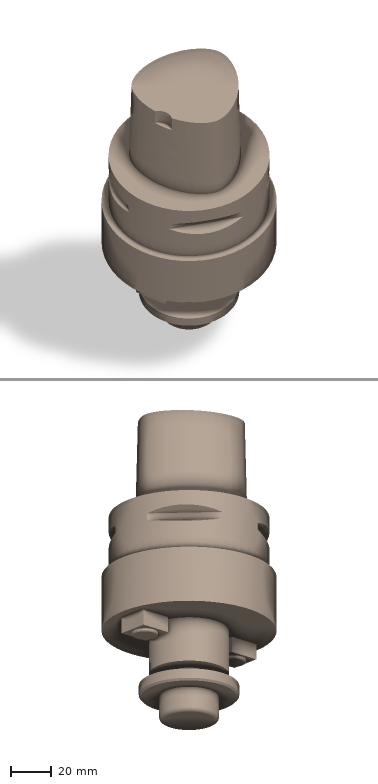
import cadquery as cq
import math

taper_length = 48.0
collar_length = 31.3
body_length = 60.0
arbor_length = 23.0
screw_gap = 6.0
washer_thickness = 6.0
total_height = 155.5
collar_bottom = -collar_length
body_bottom = -body_length
arbor_bottom = body_bottom - arbor_length
washer_top = arbor_bottom - screw_gap
washer_bottom = washer_top - washer_thickness
head_bottom = taper_length - total_height

collar_diameter = 80.0
flange_diameter = 87.0
arbor_diameter = 40.0
screw_diameter = 20.0
washer_diameter = 50.0
washer_chamfer = 1.0
head_diameter = 29.84
head_fillet = 2.0

taper_width_base = 55.6
taper_ratio = 1 / 20
taper_width_top = taper_width_base - taper_ratio * taper_length
lobe_eccentricity = 2.0
lobe_count = 3
lobe_half_angle = 33.8
first_lobe_angle = 90.0
points_per_segment = 9

notch_diameter = 13.3
notch_depth = 8.0
notch_inner_y = -22.3

groove_count = 4
groove_first_angle = 45.0
groove_floor_distance = 35.35
groove_cutter_overshoot = 1.0
groove_center_z = -12.0
groove_floor_height = 3.5
groove_flank_angle = 30.0

key_width = 16.4
key_inner_y = 21.2
key_outer_y = 37.4
key_height = 8.0
key_screw_diameter = 13.0
key_screw_height = 1.5
key_screw_chamfer = 0.5


def cylinder(diameter, top, bottom):
    return cq.Workplane("XY").workplane(offset=bottom).circle(diameter / 2).extrude(top - bottom)


def polygon_point(width, normal_angle, z):
    """Point of a constant-width curve with support distance width/2 + e*cos(3*t)."""
    turn = math.radians(normal_angle - first_lobe_angle)
    normal = math.radians(normal_angle)
    support = width / 2 + lobe_eccentricity * math.cos(lobe_count * turn)
    slope = -lobe_count * lobe_eccentricity * math.sin(lobe_count * turn)
    x = support * math.cos(normal) - slope * math.sin(normal)
    y = support * math.sin(normal) + slope * math.cos(normal)
    return cq.Vector(x, y, z)


def polygon_segment(width, start_angle, end_angle, z):
    step = (end_angle - start_angle) / (points_per_segment - 1)
    points = [polygon_point(width, start_angle + i * step, z) for i in range(points_per_segment)]
    return cq.Edge.makeSpline(points)


def polygon_wire(width, z):
    pitch = 360.0 / lobe_count
    edges = []
    for i in range(lobe_count):
        tip = first_lobe_angle + i * pitch
        lobe_end = tip + lobe_half_angle
        flank_end = tip + pitch - lobe_half_angle
        edges.append(polygon_segment(width, tip - lobe_half_angle, lobe_end, z))
        edges.append(polygon_segment(width, lobe_end, flank_end, z))
    return cq.Wire.assembleEdges(edges)


def make_taper():
    base = polygon_wire(taper_width_base, 0)
    top = polygon_wire(taper_width_top, taper_length)
    taper = cq.Workplane(obj=cq.Solid.makeLoft([base, top], True))
    notch = cylinder(notch_diameter, taper_length, taper_length - notch_depth)
    return taper.cut(notch.translate((0, notch_inner_y - notch_diameter / 2, 0)))


def make_body():
    collar = cylinder(collar_diameter, 0, collar_bottom)
    flange = cylinder(flange_diameter, collar_bottom, body_bottom)
    arbor = cylinder(arbor_diameter, body_bottom, arbor_bottom)
    return collar.union(flange).union(arbor)


def make_groove_cutter():
    outer = collar_diameter / 2 + groove_cutter_overshoot
    floor_half = groove_floor_height / 2
    rise = (outer - groove_floor_distance) * math.tan(math.radians(groove_flank_angle))
    profile = [
        (groove_floor_distance, groove_center_z - floor_half),
        (outer, groove_center_z - floor_half - rise),
        (outer, groove_center_z + floor_half + rise),
        (groove_floor_distance, groove_center_z + floor_half),
    ]
    return cq.Workplane("XZ").polyline(profile).close().extrude(collar_diameter / 2, both=True)


def cut_gripper_grooves(body):
    cutter = make_groove_cutter()
    for i in range(groove_count):
        angle = groove_first_angle + i * 360.0 / groove_count
        body = body.cut(cutter.rotate((0, 0, 0), (0, 0, 1), angle))
    return body


def make_clamping_screw():
    shank = cylinder(screw_diameter, arbor_bottom, washer_top)
    washer = cylinder(washer_diameter, washer_top, washer_bottom).faces("<Z").chamfer(washer_chamfer)
    head = cylinder(head_diameter, washer_bottom, head_bottom).faces("<Z").edges().fillet(head_fillet)
    return shank.union(washer).union(head)


def make_drive_key():
    """Drive key on the +Y side with its screw head standing below it."""
    key_bottom = body_bottom - key_height
    middle_y = (key_inner_y + key_outer_y) / 2
    key = cq.Workplane("XY").workplane(offset=key_bottom).center(0, middle_y)
    key = key.rect(key_width, key_outer_y - key_inner_y).extrude(key_height)
    screw = cylinder(key_screw_diameter, key_bottom, key_bottom - key_screw_height)
    screw = screw.faces("<Z").chamfer(key_screw_chamfer)
    return key.union(screw.translate((0, middle_y, 0)))


result = cut_gripper_grooves(make_body()).union(make_taper()).union(make_clamping_screw())
drive_key = make_drive_key()
for key_angle in (0, 180):
    result = result.union(drive_key.rotate((0, 0, 0), (0, 0, 1), key_angle))